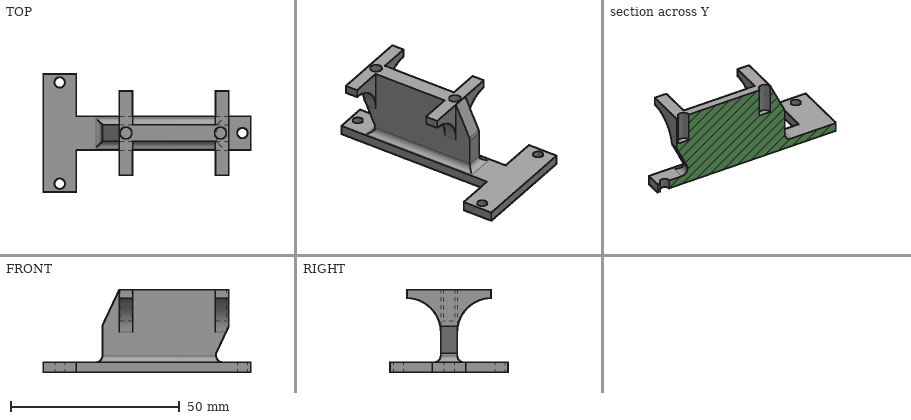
import cadquery as cq

base_length = 61.5
base_thickness = 3.0
crossbar_length = 35.0
crossbar_width = 9.85
stem_width = 10.0
mount_hole_diameter = 3.0
mount_hole_edge_distance = 2.5

total_height = 24.5
web_thickness = 5.0
web_left = 17.5
web_foot_right = 51.2
left_knee_height = 13.9
right_knee_height = 13.65
right_foot_height = 5.65
left_knee_radius = 2.5
foot_fillet_radius = 1.95

arm_span = 24.95
arm_tip_thickness = 2.5
arm_width = 4.0
left_arm_start = 22.5
right_arm_start = 51.0
web_top_right = right_arm_start + arm_width

pin_hole_diameter = 3.5
pin_hole_depth = 9.2
left_pin_x = left_arm_start + arm_width / 2
pin_spacing = 28.0


def make_base():
    crossbar = cq.Workplane("XY").box(
        crossbar_width, crossbar_length, base_thickness, centered=(False, True, False)
    )
    stem = cq.Workplane("XY").box(
        base_length, stem_width, base_thickness, centered=(False, True, False)
    )
    return crossbar.union(stem)


def extrude_side_profile(thickness):
    """Side outline of the web, extruded symmetrically about the XZ plane."""
    return (
        cq.Workplane("XZ")
        .moveTo(web_left, base_thickness)
        .lineTo(web_foot_right, base_thickness)
        .lineTo(web_foot_right, right_foot_height)
        .lineTo(web_top_right, right_knee_height)
        .lineTo(web_top_right, total_height)
        .lineTo(left_arm_start, total_height)
        .lineTo(web_left, left_knee_height)
        .close()
        .extrude(thickness / 2, both=True)
    )


def make_web():
    web = extrude_side_profile(web_thickness)
    left_knee = cq.selectors.NearestToPointSelector((web_left, 0, left_knee_height))
    return web.edges(left_knee).fillet(left_knee_radius)


def add_foot_fillet(body):
    margin = 0.05
    foot_edges = cq.selectors.BoxSelector(
        (web_left - margin, -web_thickness / 2 - margin, base_thickness - margin),
        (web_foot_right + margin, web_thickness / 2 + margin, base_thickness + margin),
    )
    return body.edges(foot_edges).fillet(foot_fillet_radius)


def make_arm(start_x):
    """Both-sided arm with a quarter-round underside blending into the web."""
    half_span = arm_span / 2
    half_web = web_thickness / 2
    radius = half_span - half_web
    tip_bottom = total_height - arm_tip_thickness
    root_bottom = tip_bottom - radius
    diagonal = radius * 0.5**0.5
    arc_y = half_span - diagonal
    arc_z = root_bottom + diagonal
    return (
        cq.Workplane("YZ", origin=(start_x, 0, 0))
        .moveTo(-half_span, total_height)
        .lineTo(half_span, total_height)
        .lineTo(half_span, tip_bottom)
        .threePointArc((arc_y, arc_z), (half_web, root_bottom))
        .lineTo(-half_web, root_bottom)
        .threePointArc((-arc_y, arc_z), (-half_span, tip_bottom))
        .close()
        .extrude(arm_width)
    )


def make_holes():
    mount_y = crossbar_length / 2 - mount_hole_edge_distance
    mount_points = [
        (crossbar_width / 2, mount_y),
        (crossbar_width / 2, -mount_y),
        (base_length - mount_hole_edge_distance, 0),
    ]
    mount_holes = (
        cq.Workplane("XY")
        .pushPoints(mount_points)
        .circle(mount_hole_diameter / 2)
        .extrude(base_thickness)
    )
    pin_holes = (
        cq.Workplane("XY", origin=(0, 0, total_height))
        .pushPoints([(left_pin_x, 0), (left_pin_x + pin_spacing, 0)])
        .circle(pin_hole_diameter / 2)
        .extrude(-pin_hole_depth)
    )
    return mount_holes.union(pin_holes)


arm_envelope = extrude_side_profile(arm_span)
body = add_foot_fillet(make_base().union(make_web()))
for start_x in (left_arm_start, right_arm_start):
    body = body.union(make_arm(start_x).intersect(arm_envelope))
result = body.cut(make_holes())